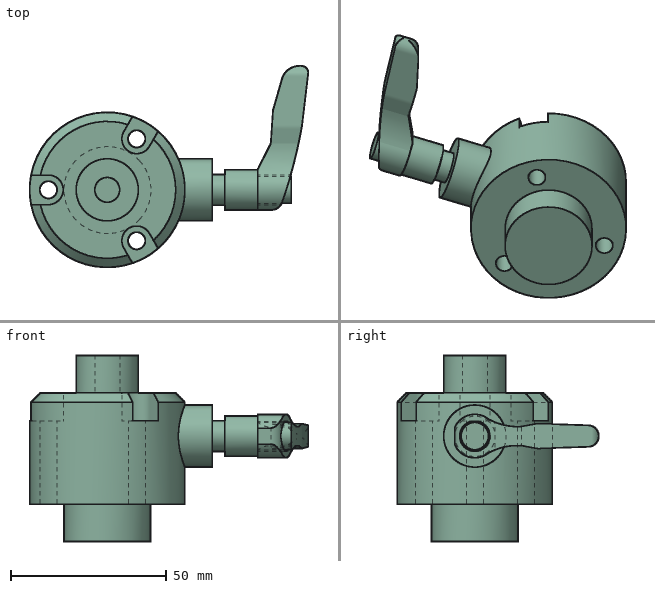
import cadquery as cq
import math

SPIGOT_DIAMETER = 28.0
POST_DIAMETER = 20.0
END_LENGTH = 12.0
BODY_DIAMETER = 50.05
BODY_HEIGHT = 35.9
BODY_CHAMFER = 3.0
BODY_TOP = END_LENGTH + BODY_HEIGHT
POST_TOP = BODY_TOP + END_LENGTH
BORE_DIAMETER = 8.0
BORE_DEPTH = END_LENGTH

NOTCH_COUNT = 3
FIRST_NOTCH_ANGLE = 180
NOTCH_WIDTH = 9.5
NOTCH_DEPTH = 9.0
SCREW_CIRCLE_RADIUS = 19.0
SCREW_HOLE_DIAMETER = 5.5

CLAMP_HEIGHT_IN_BODY = 22.0
CLAMP_Z = END_LENGTH + CLAMP_HEIGHT_IN_BODY
BOSS_DIAMETER = 20.0
BOSS_END_X = 33.9

NECK_DIAMETER = 10.0
NECK_LENGTH = 4.0
COLLAR_DIAMETER = 13.0
COLLAR_LENGTH = 10.5
PIN_DIAMETER = 8.8
PIN_LENGTH = 10.9
COLLAR_START_X = BOSS_END_X + NECK_LENGTH
COLLAR_END_X = COLLAR_START_X + COLLAR_LENGTH

LEVER_HUB_RADIUS = 7.0
LEVER_FLAT_Y = -COLLAR_DIAMETER / 2
LEVER_BORE_DIAMETER = 9.7
ARM_LEAVES_HUB_Y = 4.4
NECKING_Y = 9.2
NECKING_HALF_HEIGHT = 3.6
WAIST_Y = 14.9
WAIST_HALF_HEIGHT = 3.1
GRIP_Y = 20.2
GRIP_HALF_HEIGHT = 4.0
GRIP_EDGE_RADIUS = 5.0
EDGE_SEARCH_MARGIN = 0.9
TIP_HALF_HEIGHT = 3.5
LEVER_END_Y = 40.0
TIP_Y = LEVER_END_Y - TIP_HALF_HEIGHT
OVERALL_LENGTH = 89.9
LEVER_END_X = OVERALL_LENGTH - BODY_DIAMETER / 2

HEEL_START = (52.8, LEVER_FLAT_Y)
HEEL_END = (56.2, -4.5)
OUTER_BEND_MIDDLE = (60.1, 8.4)
OUTER_BEND_END = (62.8, 20.8)
TIP_OUTER_CORNER = (LEVER_END_X, 37.9)
TIP_OUTER_ARC_MIDDLE = (64.25, 39.2)
TIP_PEAK = (62.2, LEVER_END_Y)
TIP_INNER_ARC_MIDDLE = (58.6, 38.9)
TIP_INNER_CORNER = (56.25, 35.7)
GRIP_INNER_CORNER = (53.4, 25.6)
GRIP_INNER_X = 53.0
WAIST_INNER_X = 52.7


def cylinder_z(diameter, start_z, height):
    return cq.Workplane("XY").workplane(offset=start_z).circle(diameter / 2).extrude(height)


def cylinder_on_clamp_axis(diameter, start_x, length):
    return (
        cq.Workplane("YZ", origin=(start_x, 0, CLAMP_Z))
        .circle(diameter / 2)
        .extrude(length)
    )


def make_notch(angle):
    """Round-ended slot open to the rim, with a screw hole through the body."""
    reach = BODY_DIAMETER / 2
    floor_z = BODY_TOP - NOTCH_DEPTH
    rounded_end = cylinder_z(NOTCH_WIDTH, floor_z, NOTCH_DEPTH)
    mouth = cq.Workplane("XY").box(
        reach, NOTCH_WIDTH, NOTCH_DEPTH, centered=(False, True, False)
    ).translate((0, 0, floor_z))
    screw_hole = cylinder_z(SCREW_HOLE_DIAMETER, 0, BODY_TOP)
    notch = rounded_end.union(mouth).union(screw_hole)
    return notch.translate((SCREW_CIRCLE_RADIUS, 0, 0)).rotate((0, 0, 0), (0, 0, 1), angle)


def make_housing():
    body = cylinder_z(BODY_DIAMETER, END_LENGTH, BODY_HEIGHT).faces(">Z").chamfer(BODY_CHAMFER)
    housing = body.union(cylinder_z(SPIGOT_DIAMETER, 0, END_LENGTH))
    housing = housing.union(cylinder_on_clamp_axis(BOSS_DIAMETER, 0, BOSS_END_X))
    for index in range(NOTCH_COUNT):
        housing = housing.cut(make_notch(FIRST_NOTCH_ANGLE + index * 360 / NOTCH_COUNT))
    housing = housing.union(cylinder_z(POST_DIAMETER, BODY_TOP, END_LENGTH))
    return housing.cut(cylinder_z(BORE_DIAMETER, POST_TOP - BORE_DEPTH, BORE_DEPTH))


def make_clamp_screw():
    neck = cylinder_on_clamp_axis(NECK_DIAMETER, BOSS_END_X, NECK_LENGTH)
    collar = cylinder_on_clamp_axis(COLLAR_DIAMETER, COLLAR_START_X, COLLAR_LENGTH)
    pin = cylinder_on_clamp_axis(PIN_DIAMETER, COLLAR_END_X, PIN_LENGTH)
    return neck.union(collar).union(pin)


def lever_plan():
    """Lever outline in X and Y, extruded over the full hub height."""
    return (
        cq.Workplane("XY", origin=(0, 0, CLAMP_Z))
        .moveTo(COLLAR_END_X, LEVER_FLAT_Y)
        .lineTo(*HEEL_START)
        .tangentArcPoint(HEEL_END, relative=False)
        .threePointArc(OUTER_BEND_MIDDLE, OUTER_BEND_END)
        .lineTo(*TIP_OUTER_CORNER)
        .threePointArc(TIP_OUTER_ARC_MIDDLE, TIP_PEAK)
        .threePointArc(TIP_INNER_ARC_MIDDLE, TIP_INNER_CORNER)
        .lineTo(*GRIP_INNER_CORNER)
        .lineTo(GRIP_INNER_X, GRIP_Y)
        .lineTo(WAIST_INNER_X, WAIST_Y)
        .lineTo(COLLAR_END_X, COLLAR_DIAMETER / 2)
        .close()
        .extrude(LEVER_HUB_RADIUS, both=True)
    )


def lever_side():
    """Lever outline in Y and Z, extruded along X: flatted hub, waist, grip and round tip."""
    flat_half_height = math.sqrt(LEVER_HUB_RADIUS**2 - LEVER_FLAT_Y**2)
    arm_half_height = math.sqrt(LEVER_HUB_RADIUS**2 - ARM_LEAVES_HUB_Y**2)
    outline = (
        cq.Workplane("YZ", origin=(COLLAR_END_X, 0, CLAMP_Z))
        .moveTo(LEVER_FLAT_Y, -flat_half_height)
        .lineTo(LEVER_FLAT_Y, flat_half_height)
        .threePointArc((0, LEVER_HUB_RADIUS), (ARM_LEAVES_HUB_Y, arm_half_height))
        .threePointArc((NECKING_Y, NECKING_HALF_HEIGHT), (WAIST_Y, WAIST_HALF_HEIGHT))
        .lineTo(GRIP_Y, GRIP_HALF_HEIGHT)
        .lineTo(TIP_Y, TIP_HALF_HEIGHT)
        .threePointArc((LEVER_END_Y, 0), (TIP_Y, -TIP_HALF_HEIGHT))
        .lineTo(GRIP_Y, -GRIP_HALF_HEIGHT)
        .lineTo(WAIST_Y, -WAIST_HALF_HEIGHT)
        .threePointArc((NECKING_Y, -NECKING_HALF_HEIGHT), (ARM_LEAVES_HUB_Y, -arm_half_height))
        .threePointArc((0, -LEVER_HUB_RADIUS), (LEVER_FLAT_Y, -flat_half_height))
        .close()
        .extrude(LEVER_END_X - COLLAR_END_X)
    )
    grip_edges = cq.selectors.BoxSelector(
        (COLLAR_END_X, GRIP_Y - EDGE_SEARCH_MARGIN, CLAMP_Z - LEVER_HUB_RADIUS),
        (LEVER_END_X, GRIP_Y + EDGE_SEARCH_MARGIN, CLAMP_Z + LEVER_HUB_RADIUS),
    )
    return outline.edges(grip_edges).fillet(GRIP_EDGE_RADIUS)


def make_lever():
    lever = lever_plan().intersect(lever_side())
    return lever.cut(cylinder_on_clamp_axis(LEVER_BORE_DIAMETER, COLLAR_END_X, PIN_LENGTH))


housing = make_housing()
clamp_screw = make_clamp_screw()
lever = make_lever()
result = cq.Compound.makeCompound([housing.val(), clamp_screw.val(), lever.val()])